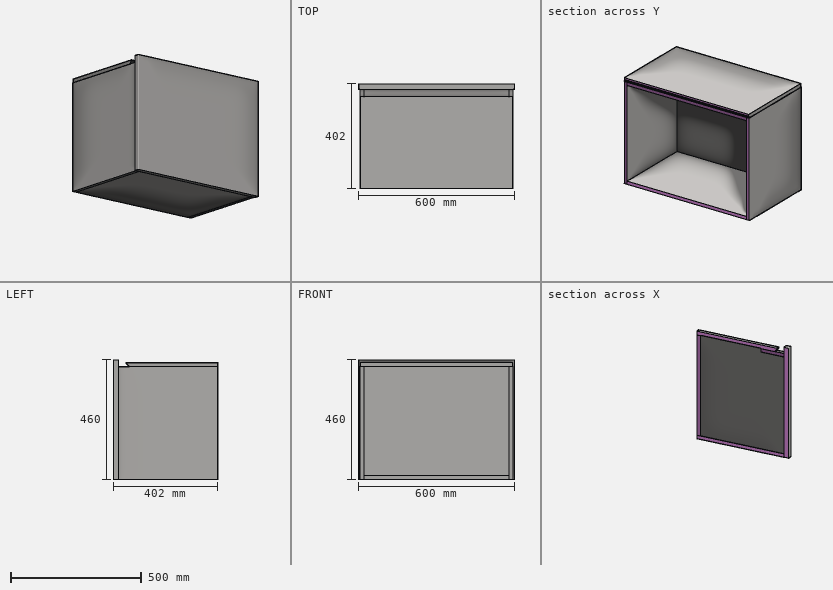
import cadquery as cq

WIDTH = 600.0
DEPTH = 402.0
HEIGHT = 460.0

FRONT_THICKNESS = 21.0
FRONT_EDGE_RADIUS = 2.0

BOARD = 15.5
SIDE_INSET = 5.5
RAIL_DEPTH = 100.0

TOP_DROP = 10.0
TOP_SIDE_INSET = 2.0
GRIP_GAP = 28.0
GRIP_BEVEL = 12.0

REAR_Y = -DEPTH / 2
FRONT_Y = DEPTH / 2
CARCASS_FRONT_Y = FRONT_Y - FRONT_THICKNESS
CARCASS_DEPTH = CARCASS_FRONT_Y - REAR_Y
CARCASS_WIDTH = WIDTH - 2 * SIDE_INSET
INNER_WIDTH = CARCASS_WIDTH - 2 * BOARD
TOP_Z = HEIGHT - TOP_DROP
SIDE_HEIGHT = TOP_Z - BOARD


def board(width, depth, height, y_min, z_min, x_centre=0):
    """Rectangular board placed by its X centre, lowest Y and lowest Z."""
    return (
        cq.Workplane("XY")
        .box(width, depth, height, centered=(True, False, False))
        .translate((x_centre, y_min, z_min))
    )


def make_drawer_front():
    """Front board with its outer face's upper edges and its top corners rounded."""
    blank = board(WIDTH, FRONT_THICKNESS, HEIGHT, CARCASS_FRONT_Y, 0)
    outer_upright_edges = blank.faces(">Y").edges("|Z")
    top_end_edges = blank.faces(">Z").edges("|Y")
    top_outer_edge = blank.faces(">Z").edges(">Y")
    rounded_edges = top_outer_edge.add(outer_upright_edges).add(top_end_edges)
    return rounded_edges.fillet(FRONT_EDGE_RADIUS)


def make_side_panel(side):
    """Side panel at the -X (side = -1) or +X (side = 1) end."""
    x_centre = side * (CARCASS_WIDTH - BOARD) / 2
    return board(BOARD, CARCASS_DEPTH, SIDE_HEIGHT, REAR_Y, 0, x_centre)


def make_bottom_panel():
    return board(INNER_WIDTH, CARCASS_DEPTH, BOARD, REAR_Y, 0)


def make_back_panel():
    """Back panel standing on the bottom panel, between the sides."""
    return board(INNER_WIDTH, BOARD, SIDE_HEIGHT - BOARD, REAR_Y, BOARD)


def make_rail():
    """Flat rail behind the drawer front, flush with the tops of the sides."""
    return board(INNER_WIDTH, RAIL_DEPTH, BOARD, CARCASS_FRONT_Y - RAIL_DEPTH, SIDE_HEIGHT - BOARD)


def make_top_board():
    """Top board resting on the carcass, its lower +Y edge bevelled as a grip."""
    width = CARCASS_WIDTH - 2 * TOP_SIDE_INSET
    depth = CARCASS_DEPTH - GRIP_GAP
    blank = board(width, depth, BOARD, REAR_Y, SIDE_HEIGHT)
    return blank.faces("<Z").edges(">Y").chamfer(GRIP_BEVEL)


drawer_front = make_drawer_front()
side_panels = [make_side_panel(side) for side in (-1, 1)]
bottom_panel = make_bottom_panel()
back_panel = make_back_panel()
rail = make_rail()
top_board = make_top_board()

result = cq.Compound.makeCompound([
    drawer_front.val(),
    *[panel.val() for panel in side_panels],
    bottom_panel.val(),
    back_panel.val(),
    rail.val(),
    top_board.val(),
])